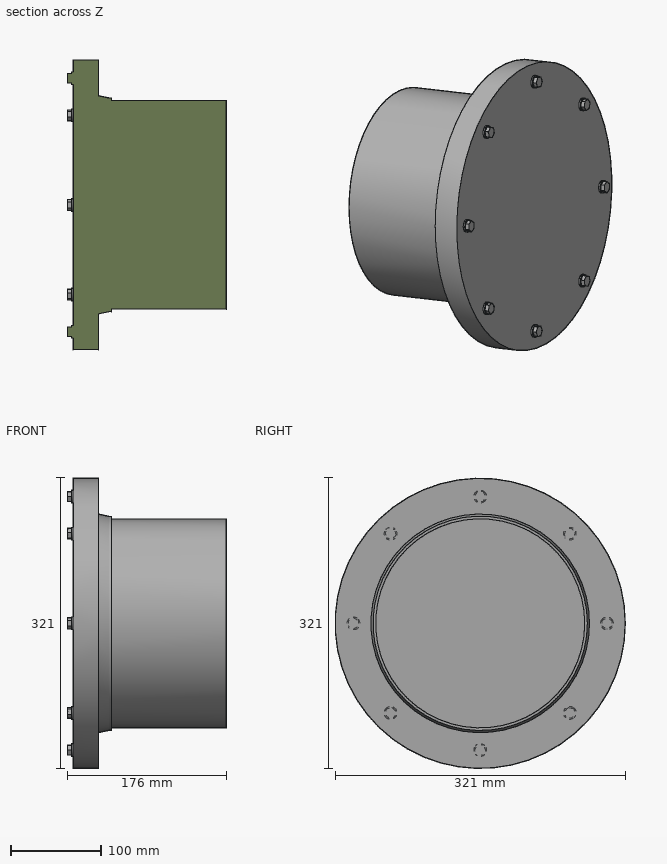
import cadquery as cq
import math

overall_length = 176.0
screw_height = 6.5
collar_thickness = 2.0
flange_thickness = 28.2
cone_length = 11.5
ring_length = 3.0

flange_diameter = 321.0
cone_base_diameter = 241.7
ring_diameter = 237.0
pipe_diameter = 231.0

screw_count = 8
screw_circle_diameter = 280.2
collar_diameter = 14.0
hex_across_flats = 11.0

flange_back = flange_thickness
cone_end = flange_back + cone_length
ring_end = cone_end + ring_length
pipe_end = overall_length - screw_height


def make_body():
    """Flange, tapered neck, ring and pipe as one solid of revolution about X."""
    profile = [
        (0, 0),
        (0, flange_diameter / 2),
        (flange_back, flange_diameter / 2),
        (flange_back, cone_base_diameter / 2),
        (cone_end, ring_diameter / 2),
        (ring_end, ring_diameter / 2),
        (ring_end, pipe_diameter / 2),
        (pipe_end, pipe_diameter / 2),
        (pipe_end, 0),
    ]
    return cq.Workplane("XY").polyline(profile).close().revolve(360, (0, 0, 0), (1, 0, 0))


def make_screw_head():
    """Collared hex head centred on the X axis, pointing to -X, corners along Y."""
    hex_across_corners = hex_across_flats / math.cos(math.radians(30))
    hexagon = cq.Workplane("YZ").polygon(6, hex_across_corners).extrude(-screw_height)
    collar = cq.Workplane("YZ").circle(collar_diameter / 2).extrude(-collar_thickness)
    return hexagon.union(collar)


result = make_body()

top_screw = make_screw_head().translate((0, 0, screw_circle_diameter / 2))
for index in range(screw_count):
    angle = index * 360 / screw_count
    result = result.union(top_screw.rotate((0, 0, 0), (1, 0, 0), angle))